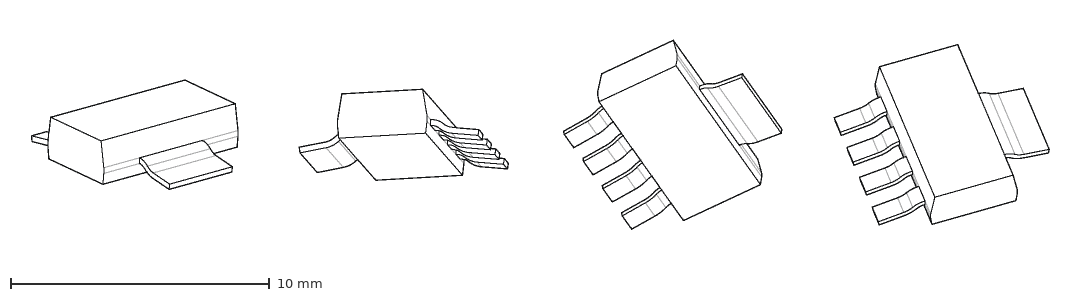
import cadquery as cq
import math

overall_width = 7.37
housing_length = 6.55
overall_height = 1.8

housing_width = 3.55
housing_top_width = 3.205
housing_bottom_width = 3.44
standoff = 0.03

strip_thickness = 0.235
shoulder_radius = 0.76
ankle_radius = 0.7
slope_angle = math.radians(41.5)
foot_angle = math.radians(8)

lead_count = 4
lead_width = 0.74
lead_pitch = 1.495
tab_width = 3.065

reach = (overall_width - housing_width) / 2
shoulder_run = shoulder_radius * math.sin(slope_angle)
ankle_run = ankle_radius * (math.sin(slope_angle) - math.sin(foot_angle))
foot_run = reach - shoulder_run - ankle_run

shoulder_drop = shoulder_radius * (1 - math.cos(slope_angle))
ankle_drop = ankle_radius * (math.cos(foot_angle) - math.cos(slope_angle))
foot_drop = foot_run * math.tan(foot_angle)
foot_thickness_rise = strip_thickness * math.cos(foot_angle)
strip_top = shoulder_drop + ankle_drop + foot_drop + foot_thickness_rise
strip_bottom = strip_top - strip_thickness


def point_on_circle(center, radius, angle):
    """Point at an angle measured from +Z toward -X."""
    return (center[0] - radius * math.sin(angle), center[1] + radius * math.cos(angle))


def make_housing():
    half_width = housing_width / 2
    half_top = housing_top_width / 2
    half_bottom = housing_bottom_width / 2
    outline = [
        (-half_bottom, standoff),
        (half_bottom, standoff),
        (half_width, strip_bottom),
        (half_width, strip_top),
        (half_top, overall_height),
        (-half_top, overall_height),
        (-half_width, strip_top),
        (-half_width, strip_bottom),
    ]
    return cq.Workplane("XZ").polyline(outline).close().extrude(housing_length / 2, both=True)


def make_gull_wing(width):
    """Bent strip on the -X side, centred on Y = 0, starting flush at the housing wall."""
    wall_x = -housing_width / 2
    shoulder_center = (wall_x, strip_top - shoulder_radius)
    shoulder_inner = shoulder_radius - strip_thickness
    bend_join = point_on_circle(shoulder_center, shoulder_radius, slope_angle)
    ankle_center = point_on_circle(bend_join, ankle_radius, slope_angle)
    ankle_outer = ankle_radius + strip_thickness

    def shoulder(radius, angle):
        return point_on_circle(shoulder_center, radius, angle)

    def ankle(radius, angle):
        return point_on_circle(ankle_center, -radius, angle)

    mid_shoulder = slope_angle / 2
    mid_ankle = (slope_angle + foot_angle) / 2
    toe_top = (-overall_width / 2, foot_thickness_rise)
    toe_bottom = (toe_top[0] + strip_thickness * math.sin(foot_angle), 0)

    return (
        cq.Workplane("XZ")
        .moveTo(wall_x, strip_top)
        .threePointArc(shoulder(shoulder_radius, mid_shoulder), bend_join)
        .threePointArc(ankle(ankle_radius, mid_ankle), ankle(ankle_radius, foot_angle))
        .lineTo(*toe_top)
        .lineTo(*toe_bottom)
        .lineTo(*ankle(ankle_outer, foot_angle))
        .threePointArc(ankle(ankle_outer, mid_ankle), ankle(ankle_outer, slope_angle))
        .threePointArc(shoulder(shoulder_inner, mid_shoulder), (wall_x, strip_bottom))
        .close()
        .extrude(width / 2, both=True)
    )


def make_lead(index):
    lead_y = (index - (lead_count - 1) / 2) * lead_pitch
    return make_gull_wing(lead_width).translate((0, lead_y, 0))


def make_tab():
    """Single wide strip on the +X side, opposite the leads."""
    return make_gull_wing(tab_width).mirror("YZ")


housing = make_housing()
leads = [make_lead(index) for index in range(lead_count)]
tab = make_tab()

result = cq.Compound.makeCompound([housing.val(), *[lead.val() for lead in leads], tab.val()])